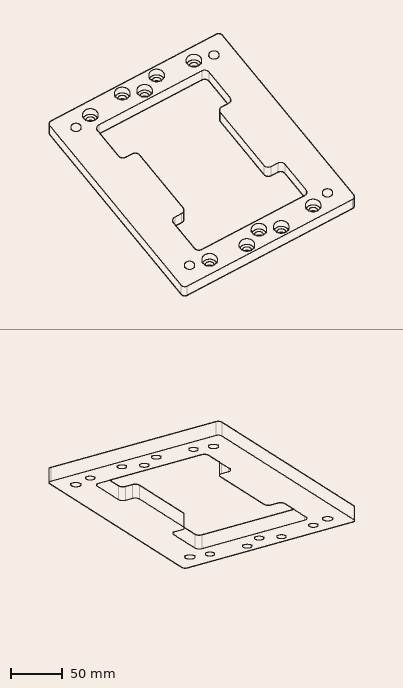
import cadquery as cq

length = 240.0
width = 200.0
thickness = 15.0
plate_corner_radius = 4.0

window_length = 181.0
window_width = 129.0
tab_length = 87.0
tab_gap = 93.5
window_radius = 5.0

corner_hole_diameter = 10.0
corner_hole_x = 100.0
corner_hole_y = 80.0

bolt_diameter = 9.0
counterbore_diameter = 15.0
counterbore_depth = 9.0
outer_bolt = (105.0, 60.0)
inner_bolt = (110.0, 20.0)
middle_bolt_x = 100.8


def mirrored(x, y):
    """Four points placed symmetrically about both plate axes."""
    return [(sx * x, sy * y) for sx in (-1, 1) for sy in (-1, 1)]


def make_plate():
    plate = cq.Workplane("XY").box(length, width, thickness, centered=(True, True, False))
    return plate.edges("|Z").fillet(plate_corner_radius)


def make_window():
    """Solid that cuts the window, with every vertical corner rounded."""
    side_length = (window_length - tab_length) / 2
    side_center = (window_length + tab_length) / 4
    window = cq.Workplane("XY").rect(tab_length, tab_gap).extrude(thickness)
    sides = (
        cq.Workplane("XY")
        .pushPoints([(-side_center, 0), (side_center, 0)])
        .rect(side_length, window_width)
        .extrude(thickness)
    )
    return window.union(sides).clean().edges("|Z").fillet(window_radius)


bolt_points = mirrored(*outer_bolt) + mirrored(*inner_bolt)
bolt_points += [(-middle_bolt_x, 0), (middle_bolt_x, 0)]

result = (
    make_plate()
    .cut(make_window())
    .faces(">Z")
    .workplane(origin=(0, 0, thickness))
    .pushPoints(mirrored(corner_hole_x, corner_hole_y))
    .hole(corner_hole_diameter)
    .faces(">Z")
    .workplane(origin=(0, 0, thickness))
    .pushPoints(bolt_points)
    .cboreHole(bolt_diameter, counterbore_diameter, counterbore_depth)
)